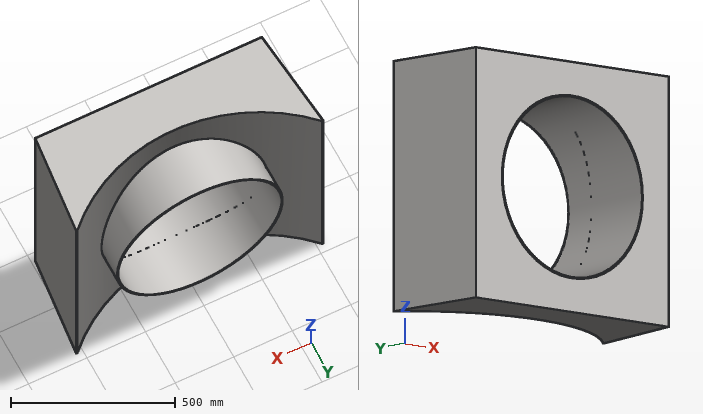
import cadquery as cq
import math

block_width_back = 845.0
block_width_front = 775.0
block_height = 775.0
block_depth = 344.0
saddle_radius = 583.0
tip_flat_width = 4.0

sleeve_length = 345.0
sleeve_outer_diameter = 566.0
sleeve_wall = 3.8
sleeve_inner_diameter = sleeve_outer_diameter - 2 * sleeve_wall

half_back = block_width_back / 2
half_front = block_width_front / 2
half_saddle = half_back - tip_flat_width
saddle_sag = saddle_radius - math.sqrt(saddle_radius**2 - half_saddle**2)
saddle_bottom_y = block_depth - saddle_sag


def cylinder_along_y(diameter, length):
    """Cylinder from the front plane Y = 0 towards +Y, centred on the Y axis."""
    return cq.Workplane("XZ").circle(diameter / 2).extrude(-length)


def make_saddle_block():
    """Flared block with a concave back and a bore that fits the sleeve."""
    block = (
        cq.Workplane("XY")
        .workplane(offset=-block_height / 2)
        .moveTo(-half_front, 0)
        .lineTo(half_front, 0)
        .lineTo(half_back, block_depth)
        .lineTo(half_saddle, block_depth)
        .threePointArc((0, saddle_bottom_y), (-half_saddle, block_depth))
        .lineTo(-half_back, block_depth)
        .close()
        .extrude(block_height)
    )
    return block.cut(cylinder_along_y(sleeve_outer_diameter, sleeve_length))


def make_sleeve():
    """Straight thin-walled tube, flush with the front of the block."""
    outside = cylinder_along_y(sleeve_outer_diameter, sleeve_length)
    return outside.cut(cylinder_along_y(sleeve_inner_diameter, sleeve_length))


saddle_block = make_saddle_block()
sleeve = make_sleeve()

result = cq.Compound.makeCompound([saddle_block.solids().val(), sleeve.solids().val()])